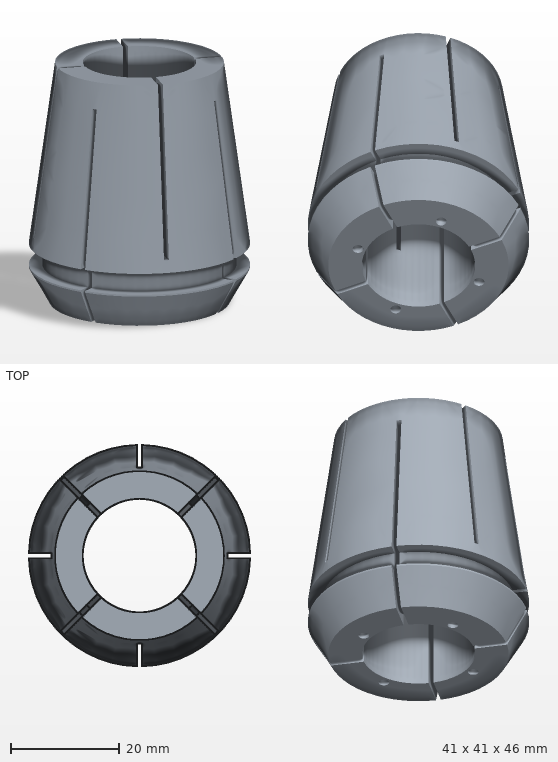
import cadquery as cq
import math

height = 46.0
rim_diameter = 41.0
rim_radius = rim_diameter / 2
top_radius = 15.65
nose_radius = 16.7
bore_radius = 10.5
groove_radius = 18.0
nose_rim_z = 6.7
groove_bottom_z = 7.05
groove_top_z = 11.1

slot_width = 0.9
blade_radius = 19.3
slots_per_set = 4
slot_pitch = 360 / slots_per_set
nose_blade_r = 23.0
nose_blade_z = 22.8
top_blade_r = 17.5
top_blade_z = 32.55
slot_inner_r = 5.5
slot_outer_r = 27.6
overrun = 0.45

hole_diameter = 2.0
hole_tilt = 10.0
hole_top_r = 14.4
hole_top_z = 13.8


def make_body():
    """Revolve the half section of the collet wall."""
    return (
        cq.Workplane("XZ")
        .moveTo(bore_radius, 0)
        .lineTo(nose_radius, 0)
        .lineTo(rim_radius, nose_rim_z)
        .lineTo(rim_radius, groove_bottom_z)
        .lineTo(groove_radius, groove_bottom_z)
        .lineTo(groove_radius, groove_top_z)
        .lineTo(rim_radius, groove_top_z)
        .lineTo(top_radius, height)
        .lineTo(bore_radius, height)
        .close()
        .revolve(360, (0, 0, 0), (0, 1, 0))
    )


def make_slot(blade_r, blade_z, open_z):
    """Blade disc joined to a straight run from its centre to the open end."""
    half_width = slot_width / 2
    disc = (
        cq.Workplane("XZ")
        .center(blade_r, blade_z)
        .circle(blade_radius)
        .extrude(half_width, both=True)
    )
    run = (
        cq.Workplane("XZ")
        .moveTo(slot_inner_r, blade_z)
        .lineTo(slot_outer_r, blade_z)
        .lineTo(slot_outer_r, open_z)
        .lineTo(slot_inner_r, open_z)
        .close()
        .extrude(half_width, both=True)
    )
    return disc.union(run)


def make_hole():
    """Slanted cylinder from the top slot floor down past the nose face."""
    tilt = math.radians(hole_tilt)
    length = (hole_top_z + overrun) / math.cos(tilt)
    start = cq.Vector(hole_top_r, 0, hole_top_z)
    direction = cq.Vector(-math.sin(tilt), 0, -math.cos(tilt))
    return cq.Workplane(cq.Solid.makeCylinder(hole_diameter / 2, length, start, direction))


def cut_around(body, cutter, first_angle):
    """Cut one copy of the cutter for each slot of a set."""
    for index in range(slots_per_set):
        angle = first_angle + index * slot_pitch
        body = body.cut(cutter.rotate((0, 0, 0), (0, 0, 1), angle))
    return body


nose_slot = make_slot(nose_blade_r, nose_blade_z, -overrun)
top_slot = make_slot(top_blade_r, top_blade_z, height + overrun)

result = make_body()
result = cut_around(result, nose_slot, 0)
result = cut_around(result, top_slot, slot_pitch / 2)
result = cut_around(result, make_hole(), slot_pitch / 2)